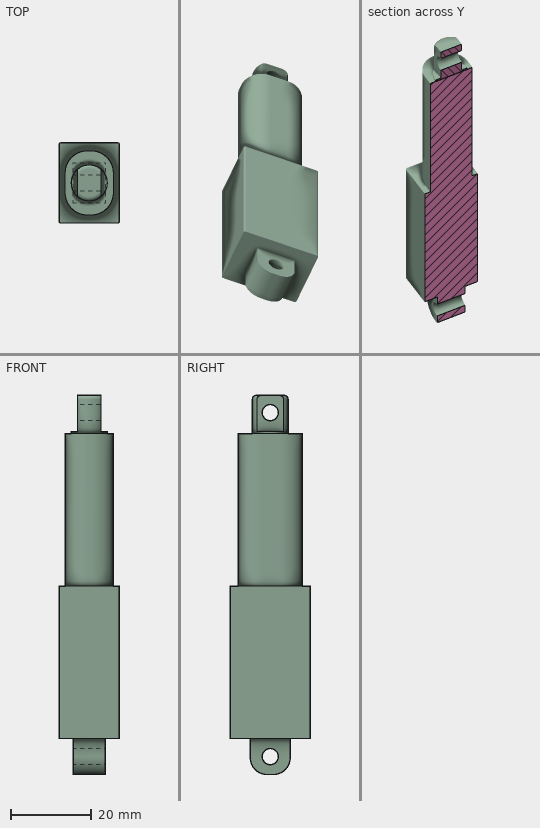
import cadquery as cq

total_height = 94.5
body_height = 38.0
tube_height = body_height
lug_height = 9.0
rod_height = total_height - lug_height - body_height - tube_height

body_x = 15.0
body_y = 20.0
body_corner_radius = 0.5

tube_x = 12.0
tube_y = 16.0
tube_corner_radius = 5.5

lug_x = 8.0
lug_y = 10.0
lug_corner_radius = 4.25
pin_hole_diameter = 4.0

rod_diameter = 9.0
rod_across_flats = 6.0
rod_collar_height = 0.5
rod_edge_radius = 1.0
rod_hole_below_top = 4.3

tube_top = body_height + tube_height
rod_top = tube_top + rod_height


def pin_hole(length, z):
    """Cylinder along X, centred at height z, that cuts a hole for a mounting pin."""
    return (
        cq.Workplane("YZ")
        .center(0, z)
        .circle(pin_hole_diameter / 2)
        .extrude(length / 2, both=True)
    )


def upright_block(size_x, size_y, height, corner_radius, z):
    """Block standing at height z, with its four vertical edges rounded."""
    return (
        cq.Workplane("XY", origin=(0, 0, z))
        .rect(size_x, size_y)
        .extrude(height)
        .edges("|Z")
        .fillet(corner_radius)
    )


def make_lug():
    """Lug below the gearbox, with rounded lower corners and a pin hole."""
    lug = (
        cq.Workplane("XY")
        .rect(lug_x, lug_y)
        .extrude(-lug_height)
        .faces("<Z")
        .edges("|X")
        .fillet(lug_corner_radius)
    )
    return lug.cut(pin_hole(lug_x, -lug_height / 2))


def make_housing():
    """Gearbox body, guide tube and mounting lug in one piece."""
    body = upright_block(body_x, body_y, body_height, body_corner_radius, 0)
    tube = upright_block(tube_x, tube_y, tube_height, tube_corner_radius, body_height)
    return body.union(tube).union(make_lug())


def make_rod_end():
    """Round rod end on top of the tube, with two flats above a thin collar and a pin hole."""
    rod = (
        cq.Workplane("XY", origin=(0, 0, tube_top))
        .circle(rod_diameter / 2)
        .extrude(rod_height)
        .faces(">Z")
        .edges()
        .fillet(rod_edge_radius)
    )
    flats = (
        cq.Workplane("XY", origin=(0, 0, tube_top + rod_collar_height))
        .rect(2 * rod_diameter, 2 * rod_diameter)
        .rect(rod_across_flats, 2 * rod_diameter)
        .extrude(rod_height)
    )
    return rod.cut(flats).cut(pin_hole(rod_diameter, rod_top - rod_hole_below_top))


housing = make_housing()
rod_end = make_rod_end()

result = cq.Compound.makeCompound([housing.val(), rod_end.val()])